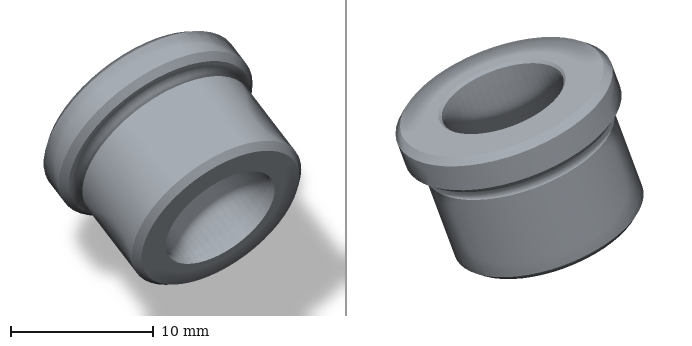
import cadquery as cq

length = 11.0
flange_diameter = 16.0
body_diameter = 14.0
bore_diameter = 9.0

flange_thickness = 3.0
edge_chamfer = 0.5
bore_chamfer = 0.2
groove_radius = 0.5

flange_radius = flange_diameter / 2
body_radius = body_diameter / 2
bore_radius = bore_diameter / 2
groove_end = flange_thickness + 2 * groove_radius


def make_bushing():
    """Revolve the half section, drawn as (X, radius), about the X axis."""
    section = (
        cq.Workplane("XY")
        .moveTo(bore_chamfer, bore_radius)
        .lineTo(0, bore_radius + bore_chamfer)
        .lineTo(0, flange_radius - edge_chamfer)
        .lineTo(edge_chamfer, flange_radius)
        .lineTo(flange_thickness - edge_chamfer, flange_radius)
        .lineTo(flange_thickness, flange_radius - edge_chamfer)
        .lineTo(flange_thickness, body_radius)
        .threePointArc(
            (flange_thickness + groove_radius, body_radius - groove_radius),
            (groove_end, body_radius),
        )
        .lineTo(length - edge_chamfer, body_radius)
        .lineTo(length, body_radius - edge_chamfer)
        .lineTo(length, bore_radius)
        .close()
    )
    return section.revolve(360, (0, 0, 0), (1, 0, 0))


result = make_bushing()